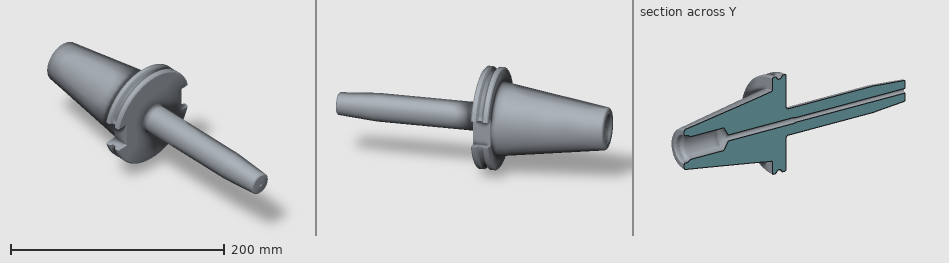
import cadquery as cq
import math

total_length = 261.5

gauge_length = 102.5
gauge_diameter = 70.0
taper_ratio = 7 / 24
small_end_round = 2.4

flange_start = 104.0
flange_end = 120.9
flange_diameter = 97.3
flange_chamfer = 1.0
neck_fillet = 0.8

groove_center = 112.5
groove_width = 7.3
groove_floor_width = 3.5
groove_depth = 3.1
groove_floor_round = 1.0

slot_width = 25.6
deep_slot_floor = 35.3
shallow_slot_floor = 37.5

shank_diameter = 27.0
shank_fillet = 2.0
nose_start = 223.5
tip_diameter = 21.5
tip_chamfer = 1.0

mouth_diameter = 28.8
socket_diameter = 26.7
socket_cone_diameter = 26.2
mouth_depth = 1.0
socket_depth = 4.7
socket_cone_half_angle = 30.0
thread_diameter = 22.2
thread_end = 47.0
drill_point_half_angle = 59.0
duct_diameter = 5.5
duct_end = 130.8
coolant_diameter = 4.2


def make_body():
    """Revolve the outer profile, then round its sharp corners."""
    small_radius = (gauge_diameter - gauge_length * taper_ratio) / 2
    neck_radius = gauge_diameter / 2
    flange_radius = flange_diameter / 2
    shank_radius = shank_diameter / 2
    tip_radius = tip_diameter / 2
    profile = (
        cq.Workplane("XY")
        .lineTo(0, small_radius)
        .lineTo(gauge_length, neck_radius)
        .lineTo(flange_start - neck_fillet, neck_radius)
        .radiusArc((flange_start, neck_radius + neck_fillet), -neck_fillet)
        .lineTo(flange_start, flange_radius - flange_chamfer)
        .lineTo(flange_start + flange_chamfer, flange_radius)
        .lineTo(groove_center - groove_width / 2, flange_radius)
        .lineTo(groove_center - groove_floor_width / 2, flange_radius - groove_depth)
        .lineTo(groove_center + groove_floor_width / 2, flange_radius - groove_depth)
        .lineTo(groove_center + groove_width / 2, flange_radius)
        .lineTo(flange_end - flange_chamfer, flange_radius)
        .lineTo(flange_end, flange_radius - flange_chamfer)
        .lineTo(flange_end, shank_radius + shank_fillet)
        .radiusArc((flange_end + shank_fillet, shank_radius), -shank_fillet)
        .lineTo(nose_start, shank_radius)
        .lineTo(total_length - tip_chamfer, tip_radius)
        .lineTo(total_length, tip_radius - tip_chamfer)
        .lineTo(total_length, 0)
        .close()
    )
    body = profile.revolve(360, (0, 0, 0), (1, 0, 0))
    body = body.faces("<X").edges().fillet(small_end_round)
    floor_diameter = flange_diameter - 2 * groove_depth
    floor_zone = cq.selectors.BoxSelector(
        (groove_center - groove_width / 2, -floor_diameter, -floor_diameter),
        (groove_center + groove_width / 2, floor_diameter, floor_diameter),
    )
    floor_edges = body.edges(floor_zone).edges(cq.selectors.RadiusNthSelector(0))
    return floor_edges.fillet(groove_floor_round)


def cone_length(large_diameter, small_diameter, half_angle):
    """Axial length of a cone between two diameters."""
    return (large_diameter - small_diameter) / 2 / math.tan(math.radians(half_angle))


def make_bore():
    """Threaded socket with a conical entry and bottom, running into a narrow through bore."""
    thread_start = socket_depth + cone_length(
        socket_cone_diameter, thread_diameter, socket_cone_half_angle
    )
    duct_start = thread_end + cone_length(thread_diameter, duct_diameter, drill_point_half_angle)
    return (
        cq.Workplane("XY")
        .lineTo(0, mouth_diameter / 2)
        .lineTo(mouth_depth, socket_diameter / 2)
        .lineTo(socket_depth, socket_diameter / 2)
        .lineTo(socket_depth, socket_cone_diameter / 2)
        .lineTo(thread_start, thread_diameter / 2)
        .lineTo(thread_end, thread_diameter / 2)
        .lineTo(duct_start, duct_diameter / 2)
        .lineTo(duct_end, duct_diameter / 2)
        .lineTo(duct_end, coolant_diameter / 2)
        .lineTo(total_length, coolant_diameter / 2)
        .lineTo(total_length, 0)
        .close()
        .revolve(360, (0, 0, 0), (1, 0, 0))
    )


def make_slot(floor, side):
    """Drive slot through the flange; side is +1 or -1 along Y."""
    depth = flange_diameter / 2 - floor
    slot_length = flange_end - flange_start
    return cq.Workplane("XY").box(slot_length, depth, slot_width).translate(
        (flange_start + slot_length / 2, side * (floor + depth / 2), 0)
    )


result = (
    make_body()
    .cut(make_bore())
    .cut(make_slot(deep_slot_floor, -1))
    .cut(make_slot(shallow_slot_floor, 1))
)